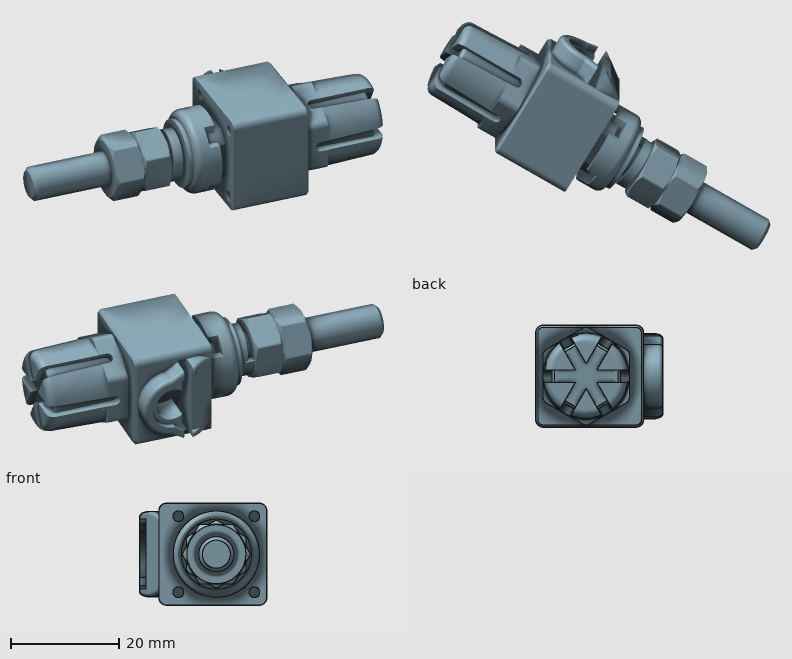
import cadquery as cq
import math


overall_length = 68.2
overall_width = 23.5

embed = 0.1

housing_left = -10.65
housing_height = 18.9
housing_right = 9.35
housing_length = 15.15
housing_corner_radius = 1.4
housing_chamfer = 0.4
mount_hole_diameter = 2.0
mount_hole_offset = 7.0
mount_hole_depth = 4.0
neck_diameter = 12.4
neck_across_flats = 10.65
neck_length = 2.85

clip_left = housing_right - overall_width
clip_root = housing_left + embed
clip_center_y = 8.65
clip_radius = 5.9
clip_edge_y = 6.75
clip_edge_half_height = 7.4
clip_kink_y = 9.3
clip_edge_round = 0.75
clip_recess_depth = 1.15
clip_recess_radius = 4.3
clip_recess_edge_half_height = 5.8
cable_bore_diameter = 6.4
tab_top_y = 4.9
tab_half_height = 7.9
tab_end_half_height = 6.6
tab_apex_y = 3.4
tab_edge_round = 0.6
tab_notch_half_height = 6.5

knob_end_y = 31.0
knob_base_radius = 8.0
knob_end_radius = 7.65
knob_end_round = 1.4
hex_start_y = 15.55
hex_end_y = 19.5
hex_across_flats = 2 * knob_base_radius
hex_edge_round = 1.4
barrel_radius = 7.85
barrel_end_y = 3.9
barrel_end_round = 1.5
slot_count = 6
slot_end_y = 17.05
slot_width = 1.9
slot_mouth_width = 2.3
slot_floor_radius = 6.35
end_recess_depth = 1.5
core_chamfer = 0.5

bush_start_y = -1.7
bush_end_y = -6.8
bush_radius = 8.0
bush_round = 1.4
bush_cavity_radius = 6.75
bush_cavity_depth = 2.05
bush_cut_offset = 4.0

washer_radius = 6.5
washer_end_y = -7.7
spring_outer_diameter = 9.9
spring_inner_diameter = 7.0
spring_thickness = 1.8
spring_turn = 0.99
spring_start_angle = 174
nut_across_flats = 11.0
nut_edge_round = 0.5
nut_face_radius = 5.45
nut_chamfer_angle = 30
lock_nut_start_y = -10.7
nut_joint_y = -16.15
outer_nut_end_y = -21.9
stud_end_y = knob_end_y - overall_length
stud_diameter = 6.5
stud_radius = stud_diameter / 2
thread_root_radius = 2.6
thread_start_y = -7.15
thread_turns = 33
thread_pitch = (thread_start_y - stud_end_y) / thread_turns
thread_crest_width = 0.2
thread_root_width = 0.15

corner_up = 30
flat_up = 0


def cylinder(radius, start_y, end_y):
    """Solid cylinder on the Y axis."""
    return cq.Workplane("XZ", origin=(0, start_y, 0)).circle(radius).extrude(start_y - end_y)


def block(x_range, y_range, z_range):
    """Axis-aligned box between pairs of limits."""
    limits = (x_range, y_range, z_range)
    size = [high - low for low, high in limits]
    corner = [low for low, high in limits]
    return cq.Workplane("XY").box(*size, centered=False).translate(tuple(corner))


def hexagon(across_flats, start_y, end_y, edge_round, turn):
    """Hexagonal prism on the Y axis with rounded edges; turn is in degrees."""
    corner_diameter = across_flats / math.cos(math.pi / 6)
    return (
        cq.Workplane("XZ", origin=(0, start_y, 0))
        .polygon(6, corner_diameter)
        .extrude(start_y - end_y)
        .edges("|Y")
        .fillet(edge_round)
        .rotate((0, 0, 0), (0, 1, 0), turn)
    )


def sweep_helix(outline, pitch, height, start_y, start_angle, lefthand):
    """Sweep a closed (radius, rise) outline along a helix that climbs toward -Y."""
    path = cq.Wire.makeHelix(pitch, height, outline[0][0], lefthand=lefthand)
    return (
        cq.Workplane("XZ")
        .polyline(outline)
        .close()
        .sweep(cq.Workplane(path), isFrenet=True)
        .rotate((0, 0, 0), (0, 0, 1), start_angle)
        .rotate((0, 0, 0), (1, 0, 0), 90)
        .translate((0, start_y, 0))
    )


def housing_block():
    half_height = housing_height / 2
    body = block((housing_left, housing_right), (0, housing_length), (-half_height, half_height))
    return body.edges("|Y").fillet(housing_corner_radius).faces(">Y").edges().chamfer(housing_chamfer)


def neck():
    half = neck_across_flats / 2
    square = block((-half, half), (-neck_length, embed), (-half, half))
    return cylinder(neck_diameter / 2, -neck_length, embed).intersect(square)


def clip_outline(radius, edge_half_height, kink_y):
    """Arc around the cable bore that flares in straight lines to the open edge of the clip."""
    kink_z = math.sqrt(radius**2 - (kink_y - clip_center_y) ** 2)
    return (
        cq.Workplane("YZ", origin=(clip_left, 0, 0))
        .moveTo(clip_edge_y, -edge_half_height)
        .lineTo(kink_y, -kink_z)
        .threePointArc((clip_center_y + radius, 0), (kink_y, kink_z))
        .lineTo(clip_edge_y, edge_half_height)
        .close()
    )


def clip():
    plate = clip_outline(clip_radius, clip_edge_half_height, clip_kink_y).extrude(clip_root - clip_left)
    plate = plate.faces("<X").edges("not(<Y)").fillet(clip_edge_round)
    recess = clip_outline(clip_recess_radius, clip_recess_edge_half_height, clip_center_y)
    return plate.cut(recess.extrude(clip_recess_depth))


def tab():
    """Wedge that slopes from the housing back face out to the clip's depth."""
    drop = tab_half_height - tab_end_half_height
    curve_radius = (tab_apex_y**2 + drop**2) / (2 * drop)
    top_drop = curve_radius - math.sqrt(curve_radius**2 - (tab_top_y - tab_apex_y) ** 2)
    tab_top_half_height = tab_half_height - top_drop
    plate = (
        cq.Workplane("YZ", origin=(clip_left, 0, 0))
        .moveTo(0, -tab_end_half_height)
        .lineTo(0, tab_end_half_height)
        .threePointArc((tab_apex_y, tab_half_height), (tab_top_y, tab_top_half_height))
        .lineTo(tab_top_y, -tab_top_half_height)
        .threePointArc((tab_apex_y, -tab_half_height), (0, -tab_end_half_height))
        .close()
        .extrude(clip_root - clip_left)
    )
    wedge = (
        cq.Workplane("XY", origin=(0, 0, -tab_half_height))
        .polyline([(clip_left, tab_top_y), (housing_left, 0), (clip_root, 0), (clip_root, tab_top_y)])
        .close()
        .extrude(2 * tab_half_height)
    )
    slope_normal = (-tab_top_y, clip_left - housing_left, 0)
    body = plate.intersect(wedge).faces(cq.DirectionMinMaxSelector(cq.Vector(slope_normal), True))
    body = body.edges("not(|Z)").fillet(tab_edge_round)
    notch = block(
        (clip_left, clip_left + clip_recess_depth),
        (0, tab_top_y),
        (-tab_notch_half_height, tab_notch_half_height),
    )
    return body.cut(notch)


def cable_bore():
    return (
        cq.Workplane("YZ", origin=(clip_left, 0, 0))
        .center(clip_center_y, 0)
        .circle(cable_bore_diameter / 2)
        .extrude(-clip_left)
    )


def make_housing():
    spacing = 2 * mount_hole_offset
    mount_holes = (
        cq.Workplane("XZ")
        .rect(spacing, spacing, forConstruction=True)
        .vertices()
        .circle(mount_hole_diameter / 2)
        .extrude(-mount_hole_depth)
    )
    window = block((housing_left, 0), (tab_top_y, clip_edge_y), (-barrel_radius, barrel_radius))
    return (
        housing_block()
        .union(neck())
        .union(clip())
        .union(tab())
        .cut(window)
        .cut(cable_bore())
        .cut(mount_holes)
        .cut(knob_barrel())
        .cut(stud_blank())
    )


def knob_barrel():
    barrel = cylinder(barrel_radius, barrel_end_y, hex_start_y + embed)
    return barrel.faces("<Y").edges().fillet(barrel_end_round)


def knob_slot():
    """Slot in the +X flat, widening toward the knob's free end, with a round inner end."""
    inner_y = slot_end_y + slot_width / 2
    half = slot_width / 2
    half_mouth = slot_mouth_width / 2
    return (
        cq.Workplane("YZ", origin=(slot_floor_radius, 0, 0))
        .moveTo(inner_y, half)
        .threePointArc((slot_end_y, 0), (inner_y, -half))
        .lineTo(knob_end_y, -half_mouth)
        .lineTo(knob_end_y, half_mouth)
        .close()
        .extrude(knob_base_radius)
    )


def knob_end_slot():
    """Half of a slot across the knob's free end; its floor drops in a bevel to the long slot."""
    floor_y = knob_end_y - end_recess_depth
    return (
        cq.Workplane("XY", origin=(0, 0, -slot_mouth_width / 2))
        .polyline([(0, knob_end_y), (0, floor_y), (slot_floor_radius - core_chamfer, floor_y),
                   (slot_floor_radius, floor_y - core_chamfer), (knob_base_radius, floor_y - core_chamfer),
                   (knob_base_radius, knob_end_y)])
        .close()
        .extrude(slot_mouth_width)
    )


def make_knob():
    cone = (
        cq.Workplane("XY")
        .polyline([(0, hex_start_y), (knob_base_radius, hex_start_y), (knob_base_radius, hex_end_y),
                   (knob_end_radius, knob_end_y), (0, knob_end_y)])
        .close()
        .revolve(360, (0, 0, 0), (0, 1, 0))
        .faces(">Y").edges().fillet(knob_end_round)
    )
    knob = cone.union(hexagon(hex_across_flats, hex_start_y, hex_end_y, hex_edge_round, corner_up))
    slot = knob_slot().union(knob_end_slot())
    for index in range(slot_count):
        knob = knob.cut(slot.rotate((0, 0, 0), (0, 1, 0), index * 360 / slot_count))
    return knob.union(knob_barrel())


def bush():
    body = cylinder(bush_radius, bush_end_y, bush_start_y).faces("<Y").edges().fillet(bush_round)
    floor_y = bush_start_y - bush_cavity_depth
    body = body.cut(cylinder(bush_cavity_radius, floor_y, bush_start_y))
    for side_x in (-1, 1):
        for side_z in (-1, 1):
            x_range = sorted((side_x * bush_cut_offset, side_x * bush_radius))
            z_range = sorted((side_z * bush_cut_offset, side_z * bush_radius))
            body = body.cut(block(x_range, (floor_y, bush_start_y), z_range))
    return body


def spring_washer():
    pitch = washer_end_y - lock_nut_start_y - spring_thickness + 2 * embed
    outer_radius = spring_outer_diameter / 2
    inner_radius = spring_inner_diameter / 2
    outline = [
        (inner_radius, 0),
        (outer_radius, 0),
        (outer_radius, spring_thickness),
        (inner_radius, spring_thickness),
    ]
    start_y = washer_end_y + embed
    return sweep_helix(outline, pitch, spring_turn * pitch, start_y, spring_start_angle, True)


def nut(start_y, end_y, turn):
    """Hexagonal nut with both ends chamfered to a round face."""
    corner_radius = nut_across_flats / 2 / math.cos(math.pi / 6)
    chamfer_length = (corner_radius - nut_face_radius) * math.tan(math.radians(nut_chamfer_angle))
    envelope = (
        cq.Workplane("XY")
        .polyline([(0, start_y), (nut_face_radius, start_y), (corner_radius, start_y + chamfer_length),
                   (corner_radius, end_y - chamfer_length), (nut_face_radius, end_y), (0, end_y)])
        .close()
        .revolve(360, (0, 0, 0), (0, 1, 0))
    )
    return hexagon(nut_across_flats, start_y, end_y, nut_edge_round, turn).intersect(envelope)


def stud_blank():
    blank = cylinder(stud_radius, stud_end_y, barrel_end_y)
    return blank.faces("<Y").edges().chamfer(stud_radius - thread_root_radius)


def threaded_stud():
    """Stud with a helical V groove from the washer down past its tip."""
    outer_radius = stud_radius + embed
    half_root = thread_root_width / 2
    half_mouth = (thread_pitch - thread_crest_width) / 2
    outline = [
        (thread_root_radius, -half_root),
        (outer_radius, -half_mouth),
        (outer_radius, half_mouth),
        (thread_root_radius, half_root),
    ]
    length = (thread_turns + 1.5) * thread_pitch
    groove = sweep_helix(outline, thread_pitch, length, thread_start_y, 0, False)
    return stud_blank().rotate((0, 0, 0), (0, 1, 0), 180).cut(groove)


def make_hardware():
    return (
        bush()
        .union(cylinder(washer_radius, washer_end_y, bush_end_y))
        .union(nut(nut_joint_y, lock_nut_start_y, corner_up))
        .union(nut(outer_nut_end_y, nut_joint_y, flat_up))
        .union(spring_washer())
        .union(threaded_stud())
    )


housing = make_housing()
knob = make_knob()
hardware = make_hardware()
result = cq.Compound.makeCompound([housing.solids().val(), knob.solids().val(), hardware.solids().val()])